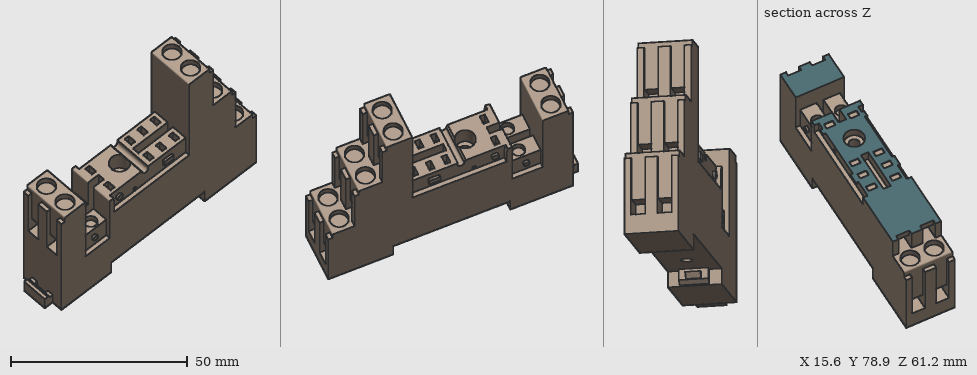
import cadquery as cq


WIDTH = 15.6
OVERALL_LENGTH = 78.9
BODY_LENGTH = 75.75
HEIGHT = 61.2

TIER_PITCH_Z = 18.55
MIDDLE_TOP = HEIGHT - TIER_PITCH_Z
LOW_TOP = MIDDLE_TOP - TIER_PITCH_Z
COLUMN_SPACING = 7.65
COLUMN_OFFSET = COLUMN_SPACING / 2
MIDDLE_BACK = 67.6
TOWER_BACK = 59.0
TOWER_FRONT = 49.6
FRONT_TIER_BACK = 9.4
EDGE_RADIUS = 0.5

LEDGE_DEPTH = 1.35
LEDGE_DROP = 1.9
SLOT_WIDTH = 4.1
WIRE_POCKET_HEIGHT = 4.65
WIRE_POCKET_DEPTH = 6.3

SCREW_DIAMETER = 5.5
SCREW_SETBACK = 5.1
SMALL_SCREW_DIAMETER = 3.9
SMALL_SCREW_Y = 15.15
SCREW_DEPTH = 2.05

PLATFORM_TOP = 34.4
PLATFORM_FRONT = 18.8
CORE_WIDTH = 12.7
SIDE_FLOOR = 27.6
SIDE_FRONT = 20.6
SIDE_TAPER = 0.4
SIDE_TAPER_HEIGHT = 2.2
LOW_BLOCK_FLOOR = 16.8

GROOVE_Y = 34.0
GROOVE_Z = 33.4
GROOVE_RADIUS = 1.0
GROOVE_FLARE = 0.5

CHANNEL_WIDTH = 2.2
BACK_CHANNEL_START = 36.2
FRONT_CHANNEL_END = 22.8

MOUNT_Y = 29.9
MOUNT_DIAMETER = 3.2
MOUNT_BORE_DIAMETER = 6.0
MOUNT_BORE_DEPTH = 6.3

PIN_SLOT_ROWS = (22.3, 37.55, 42.45, 47.5)
PIN_SLOT_LENGTH = 2.7
PIN_SLOT_WIDTH = 1.6
PIN_SLOT_DEPTH = 3.95

STUD_HEIGHT = 0.8
LARGE_STUD_DIAMETER = 2.1
LARGE_STUD_Y = 23.6
LARGE_STUD_Z = 31.0
SMALL_STUD_DIAMETER = 1.8
SMALL_STUD_Y = 14.0
SMALL_STUD_Z = 20.6
LUG_LENGTH = 3.5
LUG_HEIGHT = 2.0
LUG_Y = 42.45
DIMPLE_DIAMETER = 1.2
DIMPLE_DEPTH = 0.8
DIMPLE_Z = 28.5

RAIL_FRONT = 19.4
RAIL_BACK = 55.6
RAIL_HEIGHT = 4.6
HOOK_WIDTH = 9.95
HOOK_REACH = 1.3
HOOK_TOP = 3.7
HOOK_TIP = 2.2
CLIP_WIDTH = 8.5
CLIP_BOTTOM = 0.2
CLIP_FRONT = BODY_LENGTH - OVERALL_LENGTH
CLIP_ARM_TOP = 3.7
CLIP_BAR_BACK = -0.95
CLIP_LIP = 1.2
CLIP_WINDOW_WIDTH = 4.4
JAW_BACK = RAIL_FRONT + 1.7
JAW_TOE = 0.5
JAW_BEVEL_TOP = 1.4
TOOTH_WIDTH = 4.4
TOOTH_REACH = 1.2
TOOTH_TOP = 3.4
TOOTH_BOTTOM = 1.65


def box(x0, x1, y0, y1, z0, z1):
    return cq.Workplane("XY").box(x1 - x0, y1 - y0, z1 - z0, centered=False).translate((x0, y0, z0))


def centred_box(width, y0, y1, z0, z1, x=0):
    return box(x - width / 2, x + width / 2, y0, y1, z0, z1)


def side_profile(points, width):
    """Extrude a closed (Y, Z) outline symmetrically about the middle of the width."""
    return cq.Workplane("YZ").polyline(points).close().extrude(width / 2, both=True)


def well(x, y, top, diameter, depth):
    return cq.Workplane("XY", origin=(x, y, top)).circle(diameter / 2).extrude(-depth)


def side_pin(side, y, z, diameter, inner, outer):
    """Round bar along X between two distances from the middle, on one side."""
    start = cq.Workplane("YZ", origin=(side * inner, y, z))
    return start.circle(diameter / 2).extrude(side * (outer - inner))


def body_block():
    outline = [
        (0, 0),
        (RAIL_FRONT, 0),
        (RAIL_FRONT, RAIL_HEIGHT),
        (RAIL_BACK, RAIL_HEIGHT),
        (RAIL_BACK, 0),
        (BODY_LENGTH, 0),
        (BODY_LENGTH, LOW_TOP - LEDGE_DROP),
        (BODY_LENGTH - LEDGE_DEPTH, LOW_TOP - LEDGE_DROP),
        (BODY_LENGTH - LEDGE_DEPTH, LOW_TOP),
        (MIDDLE_BACK, LOW_TOP),
        (MIDDLE_BACK, MIDDLE_TOP - LEDGE_DROP),
        (MIDDLE_BACK - LEDGE_DEPTH, MIDDLE_TOP - LEDGE_DROP),
        (MIDDLE_BACK - LEDGE_DEPTH, MIDDLE_TOP),
        (TOWER_BACK, MIDDLE_TOP),
        (TOWER_BACK, HEIGHT - LEDGE_DROP),
        (TOWER_BACK - LEDGE_DEPTH, HEIGHT - LEDGE_DROP),
        (TOWER_BACK - LEDGE_DEPTH, HEIGHT),
        (TOWER_FRONT, HEIGHT),
        (TOWER_FRONT, PLATFORM_TOP),
        (PLATFORM_FRONT, PLATFORM_TOP),
        (PLATFORM_FRONT, LOW_TOP),
        (FRONT_TIER_BACK, LOW_TOP),
        (FRONT_TIER_BACK, MIDDLE_TOP),
        (LEDGE_DEPTH, MIDDLE_TOP),
        (LEDGE_DEPTH, MIDDLE_TOP - LEDGE_DROP),
        (0, MIDDLE_TOP - LEDGE_DROP),
    ]
    block = side_profile(outline, WIDTH)
    rounded_edges = [
        (BODY_LENGTH - LEDGE_DEPTH, LOW_TOP),
        (MIDDLE_BACK - LEDGE_DEPTH, MIDDLE_TOP),
        (TOWER_BACK - LEDGE_DEPTH, HEIGHT),
        (TOWER_FRONT, HEIGHT),
        (PLATFORM_FRONT, PLATFORM_TOP),
        (FRONT_TIER_BACK, MIDDLE_TOP),
        (LEDGE_DEPTH, MIDDLE_TOP),
    ]
    for y, z in rounded_edges:
        block = block.edges(cq.selectors.NearestToPointSelector((0, y, z))).fillet(EDGE_RADIUS)
    return block


def cut_wire_entries(body):
    """Slots down the outer face of each tier, ending in a deeper wire pocket."""
    tiers = [
        (0, MIDDLE_TOP, 1),
        (BODY_LENGTH, LOW_TOP, -1),
        (MIDDLE_BACK, MIDDLE_TOP, -1),
        (TOWER_BACK, HEIGHT, -1),
    ]
    for wall, top, inward in tiers:
        floor = top - TIER_PITCH_Z
        slot_near, slot_far = sorted((wall, wall + inward * LEDGE_DEPTH))
        pocket_near, pocket_far = sorted((wall, wall + inward * WIRE_POCKET_DEPTH))
        for x in (-COLUMN_OFFSET, COLUMN_OFFSET):
            body = body.cut(centred_box(SLOT_WIDTH, slot_near, slot_far, floor, top - LEDGE_DROP, x))
            pocket_top = floor + WIRE_POCKET_HEIGHT
            body = body.cut(centred_box(SLOT_WIDTH, pocket_near, pocket_far, floor, pocket_top, x))
    return body


def cut_screw_wells(body):
    wells = [
        (SCREW_SETBACK, MIDDLE_TOP, SCREW_DIAMETER),
        (SMALL_SCREW_Y, LOW_TOP, SMALL_SCREW_DIAMETER),
        (BODY_LENGTH - SCREW_SETBACK, LOW_TOP, SCREW_DIAMETER),
        (MIDDLE_BACK - SCREW_SETBACK, MIDDLE_TOP, SCREW_DIAMETER),
        (TOWER_BACK - SCREW_SETBACK, HEIGHT, SCREW_DIAMETER),
    ]
    for y, top, diameter in wells:
        for x in (-COLUMN_OFFSET, COLUMN_OFFSET):
            body = body.cut(well(x, y, top, diameter, SCREW_DEPTH))
    return body


def cut_side_recesses(body):
    """Step both side faces in to the narrower core beside the platform and the low front block."""
    platform_recess = side_profile(
        [
            (TOWER_FRONT, SIDE_FLOOR),
            (TOWER_FRONT, PLATFORM_TOP),
            (SIDE_FRONT - SIDE_TAPER, PLATFORM_TOP),
            (SIDE_FRONT, PLATFORM_TOP - SIDE_TAPER_HEIGHT),
            (SIDE_FRONT, SIDE_FLOOR),
        ],
        WIDTH,
    )
    front_recess = centred_box(WIDTH, FRONT_TIER_BACK, PLATFORM_FRONT, LOW_BLOCK_FLOOR, LOW_TOP)
    core = centred_box(CORE_WIDTH, 0, BODY_LENGTH, 0, HEIGHT)
    return body.cut(platform_recess.union(front_recess).cut(core))


def cut_groove(body):
    groove = (
        cq.Workplane("YZ")
        .moveTo(GROOVE_Y + GROOVE_RADIUS, PLATFORM_TOP)
        .lineTo(GROOVE_Y + GROOVE_RADIUS, GROOVE_Z)
        .threePointArc((GROOVE_Y, GROOVE_Z - GROOVE_RADIUS), (GROOVE_Y - GROOVE_RADIUS, GROOVE_Z))
        .lineTo(GROOVE_Y - GROOVE_RADIUS - GROOVE_FLARE, PLATFORM_TOP)
        .close()
        .extrude(WIDTH / 2, both=True)
    )
    return body.cut(groove)


def cut_channels(body):
    back = centred_box(CHANNEL_WIDTH, BACK_CHANNEL_START, TOWER_FRONT, SIDE_FLOOR, PLATFORM_TOP)
    front = centred_box(CHANNEL_WIDTH, FRONT_TIER_BACK, FRONT_CHANNEL_END, LOW_BLOCK_FLOOR, PLATFORM_TOP)
    return body.cut(back).cut(front)


def cut_platform_holes(body):
    body = body.cut(well(0, MOUNT_Y, PLATFORM_TOP, MOUNT_DIAMETER, PLATFORM_TOP))
    body = body.cut(well(0, MOUNT_Y, PLATFORM_TOP, MOUNT_BORE_DIAMETER, MOUNT_BORE_DEPTH))
    slot_floor = PLATFORM_TOP - PIN_SLOT_DEPTH
    for y in PIN_SLOT_ROWS:
        for x in (-COLUMN_OFFSET, COLUMN_OFFSET):
            near = y - PIN_SLOT_WIDTH / 2
            far = y + PIN_SLOT_WIDTH / 2
            body = body.cut(centred_box(PIN_SLOT_LENGTH, near, far, slot_floor, PLATFORM_TOP, x))
    return body


def add_side_details(body):
    """Studs, a rectangular lug and a round dimple on both side walls of the core."""
    wall = CORE_WIDTH / 2
    inside = wall - DIMPLE_DEPTH
    outside = wall + STUD_HEIGHT
    lug_near = LUG_Y - LUG_LENGTH / 2
    lug_bottom = LARGE_STUD_Z - LUG_HEIGHT / 2
    for side in (-1, 1):
        body = body.union(side_pin(side, LARGE_STUD_Y, LARGE_STUD_Z, LARGE_STUD_DIAMETER, inside, outside))
        body = body.union(side_pin(side, SMALL_STUD_Y, SMALL_STUD_Z, SMALL_STUD_DIAMETER, inside, outside))
        body = body.cut(side_pin(side, MOUNT_Y, DIMPLE_Z, DIMPLE_DIAMETER, inside, outside))
        x0, x1 = sorted((side * wall, side * outside))
        lug = box(x0, x1, lug_near, lug_near + LUG_LENGTH, lug_bottom, lug_bottom + LUG_HEIGHT)
        body = body.union(lug)
    return body


def rail_hook():
    """Fixed hook on the back wall of the rail gap."""
    return side_profile(
        [
            (RAIL_BACK, CLIP_BOTTOM),
            (RAIL_BACK, HOOK_TOP),
            (RAIL_BACK - HOOK_REACH, HOOK_TOP),
            (RAIL_BACK - HOOK_REACH, HOOK_TIP),
        ],
        HOOK_WIDTH,
    )


def clip_jaw():
    """End of the sliding clip that reaches into the rail gap, with a narrower tooth."""
    plate = side_profile(
        [
            (RAIL_FRONT, CLIP_BOTTOM),
            (RAIL_FRONT, RAIL_HEIGHT),
            (JAW_BACK, RAIL_HEIGHT),
            (JAW_BACK, JAW_BEVEL_TOP),
            (RAIL_FRONT + JAW_TOE, CLIP_BOTTOM),
        ],
        CLIP_WIDTH,
    )
    tooth = side_profile(
        [
            (RAIL_FRONT, TOOTH_BOTTOM),
            (RAIL_FRONT, TOOTH_TOP),
            (JAW_BACK + TOOTH_REACH, TOOTH_TOP),
            (JAW_BACK, TOOTH_BOTTOM),
        ],
        TOOTH_WIDTH,
    )
    return plate.union(tooth)


def clip_handle():
    """Pull handle of the sliding clip: two arms and a raised cross bar."""
    lip_back = CLIP_FRONT + CLIP_LIP
    handle = side_profile(
        [
            (0, CLIP_BOTTOM),
            (CLIP_FRONT, CLIP_BOTTOM),
            (CLIP_FRONT, RAIL_HEIGHT),
            (lip_back, RAIL_HEIGHT),
            (lip_back + RAIL_HEIGHT - CLIP_ARM_TOP, CLIP_ARM_TOP),
            (0, CLIP_ARM_TOP),
        ],
        CLIP_WIDTH,
    )
    return handle.cut(centred_box(CLIP_WINDOW_WIDTH, CLIP_BAR_BACK, 0, 0, RAIL_HEIGHT))


result = body_block()
result = cut_wire_entries(result)
result = cut_screw_wells(result)
result = cut_side_recesses(result)
result = cut_groove(result)
result = cut_channels(result)
result = cut_platform_holes(result)
result = add_side_details(result)
result = result.union(rail_hook()).union(clip_jaw()).union(clip_handle())